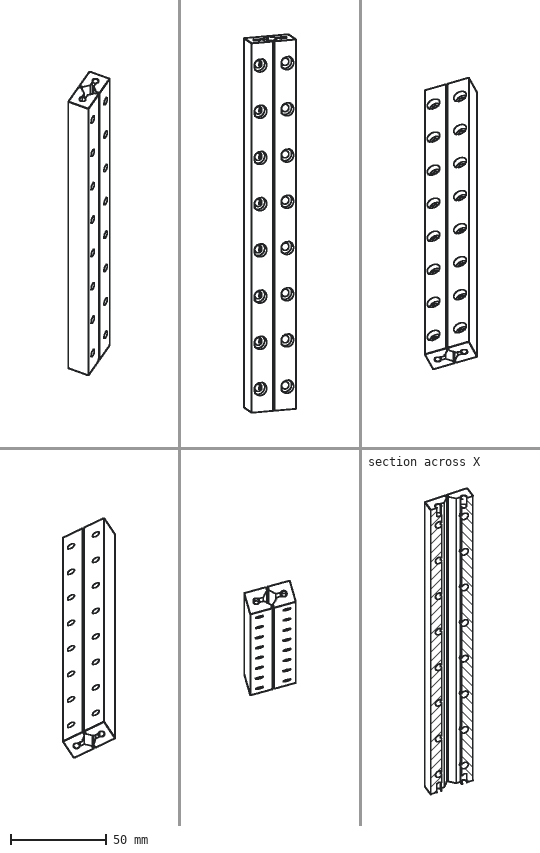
import cadquery as cq
import math

PAIR_WIDTH = 25.0
RAIL_THICKNESS = 12.0
RAIL_LENGTH = 200.0
RAIL_GAP = 0.8
EDGE_CHAMFER = 0.2

GROOVE_MOUTH_WIDTH = 8.2
RELIEF_WIDTH = 2.0
RELIEF_BOTTOM_Y = 5.8

HOLE_COUNT = 8
HOLE_PITCH = RAIL_LENGTH / HOLE_COUNT
HOLE_ROW_SPACING = 15.0
HOLE_DIAMETER = 4.0
COUNTERBORE_DIAMETER = 7.0
COUNTERBORE_DEPTH = 3.2

END_HOLE_DIAMETER = 3.0
END_HOLE_DEPTH = 6.0
END_HOLE_CHAMFER = 0.2
DRILL_POINT_ANGLE = 90.0

INNER_Y = RAIL_GAP / 2
OUTER_Y = PAIR_WIDTH / 2
HOLE_ROW_Y = HOLE_ROW_SPACING / 2
GROOVE_APEX_Y = INNER_Y + GROOVE_MOUTH_WIDTH / 2


def chamfered_bar():
    """Plain bar on the +Y side, chamfered along all its edges."""
    width = OUTER_Y - INNER_Y
    return (
        cq.Workplane("XY")
        .center(0, INNER_Y + width / 2)
        .rect(RAIL_THICKNESS, width)
        .extrude(RAIL_LENGTH)
        .edges()
        .chamfer(EDGE_CHAMFER)
    )


def groove():
    """Cutter for the V-groove and its relief slot, running the whole length."""
    half_relief = RELIEF_WIDTH / 2
    flank_end_y = GROOVE_APEX_Y - half_relief
    return (
        cq.Workplane("XY")
        .moveTo(-GROOVE_APEX_Y, 0)
        .lineTo(-half_relief, flank_end_y)
        .lineTo(-half_relief, RELIEF_BOTTOM_Y)
        .lineTo(half_relief, RELIEF_BOTTOM_Y)
        .lineTo(half_relief, flank_end_y)
        .lineTo(GROOVE_APEX_Y, 0)
        .close()
        .extrude(RAIL_LENGTH)
    )


def mounting_hole(z):
    """Cutter for one through hole along X, counterbored from the -X face."""
    face_point = cq.Vector(-RAIL_THICKNESS / 2, HOLE_ROW_Y, z)
    direction = cq.Vector(1, 0, 0)
    bore = cq.Solid.makeCylinder(HOLE_DIAMETER / 2, RAIL_THICKNESS, face_point, direction)
    counterbore = cq.Solid.makeCylinder(COUNTERBORE_DIAMETER / 2, COUNTERBORE_DEPTH, face_point, direction)
    return bore.fuse(counterbore)


def end_hole(z, inward):
    """Cutter for one drilled hole with a conical bottom and a chamfered mouth in an end face."""
    radius = END_HOLE_DIAMETER / 2
    point_length = radius / math.tan(math.radians(DRILL_POINT_ANGLE / 2))
    direction = cq.Vector(0, 0, inward)
    mouth = cq.Vector(0, HOLE_ROW_Y, z)
    bottom = mouth + direction * END_HOLE_DEPTH
    bore = cq.Solid.makeCylinder(radius, END_HOLE_DEPTH, mouth, direction)
    point = cq.Solid.makeCone(radius, 0, point_length, bottom, direction)
    mouth_chamfer = cq.Solid.makeCone(radius + END_HOLE_CHAMFER, radius, END_HOLE_CHAMFER, mouth, direction)
    return bore.fuse(point).fuse(mouth_chamfer)


def rail(side):
    """One complete rail, on the +Y side for side = 1 and on the -Y side for side = -1."""
    body = chamfered_bar().cut(groove())
    for index in range(HOLE_COUNT):
        body = body.cut(mounting_hole((index + 0.5) * HOLE_PITCH))
    body = body.cut(end_hole(0, 1))
    body = body.cut(end_hole(RAIL_LENGTH, -1))
    if side < 0:
        body = body.mirror("XZ")
    return body.val()


rails = [rail(side) for side in (1, -1)]

result = cq.Compound.makeCompound(rails)